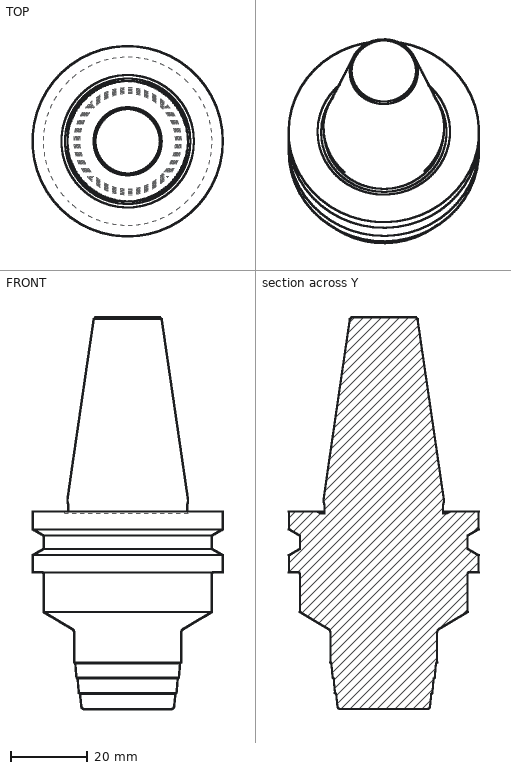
import cadquery as cq
import math

total_height = 102.8
body_bottom = 25.5
flange_bottom = 35.9
flange_top = 51.9
upper_rim = 4.7
lower_rim = 4.5
neck_cone_bottom = 53.6
gauge_bottom = 54.4
gauge_top = 55.1
shank_bottom = 21.0

nose_radius = 12.2
shank_radius = 14.1
body_radius = 22.1
flange_radius = 25.0
groove_radius = body_radius
neck_radius = 15.6
gauge_radius = 15.8
taper_top_radius = 8.9
taper_top_chamfer = 0.5

shank_blend_height = 0.8
shank_blend_width = 0.4
shank_blend_radius = (shank_blend_height**2 + shank_blend_width**2) / (2 * shank_blend_width)
body_fillet = 0.3

nose_fillet = 0.9
ring_pitch = 4.0
ring_count = 3
ring_bevel = 0.3
ring_top_step = (shank_radius - nose_radius) / ring_count
ring_bevel_inset = 0.3

groove_side_angle = 30
groove_side_height = (flange_radius - groove_radius) * math.tan(math.radians(groove_side_angle))
groove_top = flange_top - upper_rim
groove_bottom = flange_bottom + lower_rim

recess_outer_radius = 17.4
recess_floor_radius = 16.4
recess_depth = 0.5


def revolve_profile(profile):
    return profile.close().revolve(360, (0, 0, 0), (0, 1, 0))


def add_nose_rings(profile):
    """Go up the nose, one tapered ring and bevel at a time."""
    for ring in range(1, ring_count + 1):
        next_radius = nose_radius + ring * ring_top_step
        edge_height = ring * ring_pitch
        profile = profile.lineTo(next_radius - ring_bevel_inset, edge_height)
        profile = profile.lineTo(next_radius, edge_height + ring_bevel)
    return profile


def make_holder():
    """Trace half the section from the nose centre up to the taper end, then spin it."""
    profile = cq.Workplane("XZ").lineTo(nose_radius - nose_fillet, 0)
    profile = profile.radiusArc((nose_radius, nose_fillet), -nose_fillet)
    profile = add_nose_rings(profile)
    profile = (
        profile
        .lineTo(shank_radius, shank_bottom - shank_blend_height)
        .radiusArc((shank_radius + shank_blend_width, shank_bottom), shank_blend_radius)
        .lineTo(body_radius, body_bottom)
        .lineTo(body_radius, flange_bottom - body_fillet)
        .radiusArc((body_radius + body_fillet, flange_bottom), body_fillet)
        .lineTo(flange_radius, flange_bottom)
        .lineTo(flange_radius, groove_bottom)
        .lineTo(groove_radius, groove_bottom + groove_side_height)
        .lineTo(groove_radius, groove_top - groove_side_height)
        .lineTo(flange_radius, groove_top)
        .lineTo(flange_radius, flange_top)
        .lineTo(recess_outer_radius, flange_top)
        .lineTo(recess_floor_radius, flange_top - recess_depth)
        .lineTo(neck_radius, flange_top - recess_depth)
        .lineTo(neck_radius, neck_cone_bottom)
        .lineTo(gauge_radius, gauge_bottom)
        .lineTo(gauge_radius, gauge_top)
        .lineTo(taper_top_radius, total_height - taper_top_chamfer)
        .lineTo(taper_top_radius - taper_top_chamfer, total_height)
        .lineTo(0, total_height)
    )
    return revolve_profile(profile)


result = make_holder()